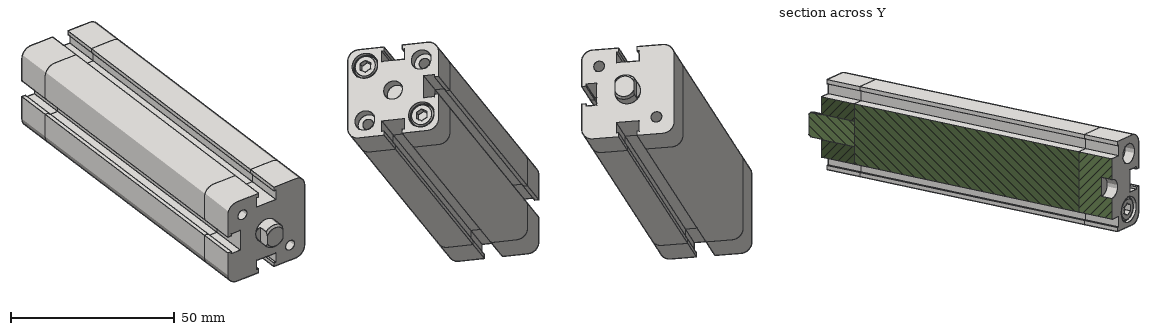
import cadquery as cq

total_length = 112.5
rod_protrusion = 4.7
cap_length = 12.3
body_length = total_length - rod_protrusion
tube_length = body_length - 2 * cap_length
front_cap_start = body_length - cap_length

profile_width = 29.0
corner_radius = 3.5
slot_mouth_width = 5.7
slot_lip_depth = 1.4
slot_width = 7.2
slot_depth = 4.7
slot_angles = (0, 180, -90)

corner_offset = 9.0
hole_positions = ((-corner_offset, corner_offset), (corner_offset, -corner_offset))
screw_positions = ((corner_offset, corner_offset), (-corner_offset, -corner_offset))
through_hole_diameter = 3.4
counterbore_diameter = 6.3
counterbore_depth = 3.5

screw_bore_diameter = 8.1
screw_head_diameter = 7.5
screw_head_chamfer = 0.6
screw_head_recess = 0.5
screw_bore_depth = 1.6
hex_across_flats = 3.4
hex_depth = 2.2

centre_hole_diameter = 6.0
centre_hole_depth = 3.8

rod_diameter = 8.0
rod_chamfer = 0.7
rod_across_flats = 6.0


def section_plane(x):
    """YZ sketch plane at the given X, with its normal along +X."""
    return cq.Workplane("YZ", origin=(x, 0, 0))


def cylinder(x, length, diameter, positions=((0, 0),)):
    return section_plane(x).pushPoints(positions).circle(diameter / 2).extrude(length)


def slot_cutter(x, length, angle):
    """T-shaped groove cutter for the +Z side, turned about X to its own side."""
    half_width = profile_width / 2
    floor = half_width - slot_depth
    lip = half_width - slot_lip_depth
    channel = (
        section_plane(x)
        .center(0, (floor + lip) / 2)
        .rect(slot_width, lip - floor)
        .extrude(length)
    )
    mouth = (
        section_plane(x)
        .center(0, (floor + half_width) / 2)
        .rect(slot_mouth_width, half_width - floor)
        .extrude(length)
    )
    return channel.union(mouth).rotate((0, 0, 0), (1, 0, 0), -angle)


def profile_block(x, length):
    """Length of slotted profile with the two corner holes running through it."""
    block = (
        section_plane(x)
        .rect(profile_width, profile_width)
        .extrude(length)
        .edges("|X")
        .fillet(corner_radius)
    )
    for angle in slot_angles:
        block = block.cut(slot_cutter(x, length, angle))
    return block.cut(cylinder(x, length, through_hole_diameter, hole_positions))


def screw_bore_cutter():
    """Cutter for the screw bores that leaves a chamfered head standing inside each one."""
    bores = cylinder(0, screw_bore_depth, screw_bore_diameter, screw_positions)
    head_height = screw_bore_depth - screw_head_recess
    heads = (
        cylinder(screw_head_recess, head_height, screw_head_diameter, screw_positions)
        .faces("<X")
        .edges()
        .chamfer(screw_head_chamfer)
    )
    return bores.cut(heads)


def make_rear_cap():
    cap = profile_block(0, cap_length)
    cap = cap.cut(cylinder(0, counterbore_depth, counterbore_diameter, hole_positions))
    cap = cap.cut(cylinder(0, centre_hole_depth, centre_hole_diameter))
    cap = cap.cut(screw_bore_cutter())
    hex_socket = (
        section_plane(screw_head_recess)
        .pushPoints(screw_positions)
        .polygon(6, hex_across_flats, circumscribed=True)
        .extrude(hex_depth)
    )
    return cap.cut(hex_socket)


def make_tube():
    return profile_block(cap_length, tube_length)


def make_front_cap():
    cap = profile_block(front_cap_start, cap_length)
    return cap.cut(cylinder(front_cap_start, cap_length, rod_diameter))


def make_rod():
    """Rod seated in the front cap; each flat starts at the cap with a 45 degree run-out."""
    rod = (
        cylinder(front_cap_start, total_length - front_cap_start, rod_diameter)
        .faces(">X")
        .edges()
        .chamfer(rod_chamfer)
    )
    radius = rod_diameter / 2
    flat = rod_across_flats / 2
    flat_cutter = (
        cq.Workplane("XY", origin=(0, 0, -radius))
        .moveTo(body_length, radius)
        .lineTo(body_length + radius - flat, flat)
        .lineTo(total_length, flat)
        .lineTo(total_length, radius)
        .close()
        .extrude(rod_diameter)
    )
    return rod.cut(flat_cutter).cut(flat_cutter.mirror("XZ"))


rear_cap = make_rear_cap()
tube = make_tube()
front_cap = make_front_cap()
rod = make_rod()

result = cq.Compound.makeCompound([rear_cap.val(), tube.val(), front_cap.val(), rod.val()])